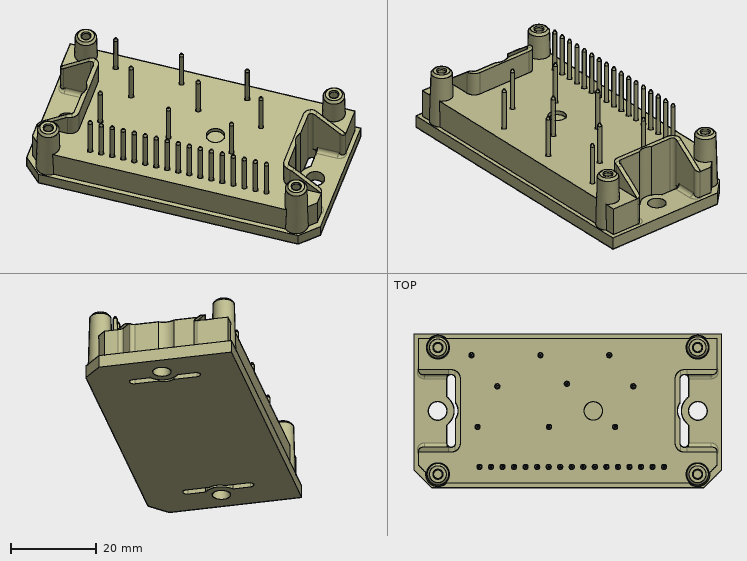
import cadquery as cq
import math

PLATE_LENGTH = 72.0
PLATE_WIDTH = 36.0
PLATE_HEIGHT = 3.1
CORNER_CUT = 4.2

HOUSING_INSET = 1.1
HOUSING_TOP = 10.1
HOUSING_END = PLATE_LENGTH / 2 - HOUSING_INSET

BAY_INNER_X = 26.3
BAY_HALF_WIDTH = 8.5
BAY_CORNER_RADIUS = 1.0
WALL_THICKNESS = 1.15
WALL_TOP = 15.9
WALL_OUTER_X = BAY_INNER_X - WALL_THICKNESS
WALL_HALF_WIDTH = BAY_HALF_WIDTH + WALL_THICKNESS
WALL_OUTER_RADIUS = BAY_CORNER_RADIUS + WALL_THICKNESS
WALL_SLOPE_ANGLE = 37.2
WALL_CREST_RADIUS = 2.4
WALL_END_RADIUS = 1.0

FOOT_RADIUS = 1.0
FOOT_END_RADIUS = 1.7
FOOT_END_X = 33.5

SCREW_X = 30.45
SCREW_DIAMETER = 4.3
SLOT_OUTER_X = 28.3
TAB_RADIUS = 3.9
RELIEF_RADIUS = 3.3
RELIEF_DEPTH = 0.6
RELIEF_X = BAY_INNER_X - RELIEF_DEPTH + RELIEF_RADIUS

RECESS_X = 6.0
RECESS_DIAMETER = 4.3
RECESS_DEPTH = 1.0

POST_X = 30.4
POST_Y = 14.8
POST_TOP = 16.85
POST_BASE_DIAMETER = 5.75
POST_SHOULDER_DIAMETER = 5.05
POST_TOP_DIAMETER = 3.95
POST_BEVEL_HEIGHT = 0.65
POST_HOLE_TOP_DIAMETER = 2.4
POST_HOLE_DIAMETER = 2.0
POST_HOLE_BEVEL_DEPTH = 0.35
POST_HOLE_DEPTH = 5.75

PIN_TOP = 20.7
PIN_DIAMETER = 1.0
PIN_TIP_DIAMETER = 0.35
PIN_TIP_HEIGHT = 0.65
PIN_WELL_DIAMETER = 1.2
PIN_WELL_DEPTH = 0.7
PIN_ROW_COUNT = 17
PIN_ROW_LENGTH = 43.2
PIN_ROW_PITCH = PIN_ROW_LENGTH / (PIN_ROW_COUNT - 1)
PIN_ROW_CENTRE_X = 0.9
PIN_ROW_Y = -13.1
LOOSE_PINS = [
    (-22.5, 13.0),
    (-6.4, 13.0),
    (9.7, 13.0),
    (-16.5, 5.75),
    (-0.2, 6.3),
    (15.3, 5.75),
    (-21.1, -3.75),
    (-4.4, -3.75),
    (11.1, -3.75),
]


def notched_block(inset, bottom, top):
    """Plate outline moved in by `inset`, with the two -Y corners cut off."""
    return (
        cq.Workplane("XY", origin=(0, 0, bottom))
        .rect(PLATE_LENGTH - 2 * inset, PLATE_WIDTH - 2 * inset)
        .extrude(top - bottom)
        .edges("|Z and <Y")
        .chamfer(CORNER_CUT)
    )


def box_between(x_min, x_max, half_width, bottom, top):
    """Box centred on Y = 0."""
    return (
        cq.Workplane("XY", origin=((x_min + x_max) / 2, 0, bottom))
        .rect(x_max - x_min, 2 * half_width)
        .extrude(top - bottom)
    )


def turned(profile, x, y):
    """Solid of revolution about the vertical line through (x, y), from (radius, Z) points."""
    return cq.Workplane("XZ").polyline(profile).close().revolve(360, (0, 0), (0, 1)).translate((x, y, 0))


def cylinder(x, y, diameter, bottom, top):
    return cq.Workplane("XY", origin=(x, y, bottom)).circle(diameter / 2).extrude(top - bottom)


def bay_wall():
    """Raised wall block at the +X end, sloping down to the housing top at its outer end."""
    block = box_between(WALL_OUTER_X, HOUSING_END, WALL_HALF_WIDTH, PLATE_HEIGHT, WALL_TOP)
    block = block.edges("|Z and <X").fillet(WALL_OUTER_RADIUS)
    slope_start_x = HOUSING_END - (WALL_TOP - HOUSING_TOP) / math.tan(math.radians(WALL_SLOPE_ANGLE))
    profile = (
        cq.Workplane("XZ")
        .moveTo(WALL_OUTER_X, PLATE_HEIGHT)
        .lineTo(HOUSING_END, PLATE_HEIGHT)
        .lineTo(HOUSING_END, HOUSING_TOP)
        .lineTo(slope_start_x, WALL_TOP)
        .lineTo(WALL_OUTER_X, WALL_TOP)
        .close()
        .extrude(WALL_HALF_WIDTH, both=True)
    )
    crest = cq.selectors.NearestToPointSelector((slope_start_x, 0, WALL_TOP))
    return block.intersect(profile.edges(crest).fillet(WALL_CREST_RADIUS))


def bay_pocket():
    """Space cut out at the +X end, flaring around the rounded outer ends of the side walls."""
    pocket = box_between(BAY_INNER_X, PLATE_LENGTH, BAY_HALF_WIDTH, PLATE_HEIGHT, WALL_TOP)
    pocket = pocket.edges("|Z and <X").fillet(BAY_CORNER_RADIUS)
    end_x = HOUSING_END - WALL_END_RADIUS
    end_y = BAY_HALF_WIDTH + WALL_END_RADIUS
    mouth = box_between(end_x, HOUSING_END, end_y, PLATE_HEIGHT, WALL_TOP)
    for side_y in (-end_y, end_y):
        mouth = mouth.cut(cylinder(end_x, side_y, 2 * WALL_END_RADIUS, PLATE_HEIGHT, WALL_TOP))
    relief = cylinder(RELIEF_X, 0, 2 * RELIEF_RADIUS, PLATE_HEIGHT, WALL_TOP)
    return pocket.union(mouth).union(relief)


def bay_feet():
    """Concave feet of the two side walls at the +X end, each swept around the outer end of its wall."""
    toe_y = BAY_HALF_WIDTH - FOOT_RADIUS
    foot_top = PLATE_HEIGHT + FOOT_RADIUS
    arc_offset = FOOT_RADIUS * (1 - math.sqrt(0.5))
    ridge = (
        cq.Workplane("YZ", origin=(SLOT_OUTER_X, 0, 0))
        .moveTo(toe_y, PLATE_HEIGHT)
        .threePointArc((BAY_HALF_WIDTH - arc_offset, PLATE_HEIGHT + arc_offset), (BAY_HALF_WIDTH, foot_top))
        .lineTo(WALL_HALF_WIDTH, foot_top)
        .lineTo(WALL_HALF_WIDTH, PLATE_HEIGHT)
        .close()
        .extrude(FOOT_END_X - SLOT_OUTER_X)
    )
    core_radius = FOOT_END_RADIUS - FOOT_RADIUS
    flare = (
        cq.Workplane("XZ")
        .moveTo(FOOT_END_RADIUS, PLATE_HEIGHT)
        .threePointArc((core_radius + arc_offset, PLATE_HEIGHT + arc_offset), (core_radius, foot_top))
        .lineTo(0, foot_top)
        .lineTo(0, PLATE_HEIGHT)
        .close()
        .revolve(360, (0, 0), (0, 1))
        .translate((FOOT_END_X, toe_y + FOOT_END_RADIUS, 0))
    )
    foot = ridge.union(flare)
    return foot.union(foot.mirror("XZ"))


def spring_slot():
    """Through slot at the +X end that follows the rounded screw tab."""
    slot = (
        cq.Workplane("XY", origin=((BAY_INNER_X + SLOT_OUTER_X) / 2, 0, 0))
        .slot2D(2 * BAY_HALF_WIDTH, SLOT_OUTER_X - BAY_INNER_X, 90)
        .extrude(PLATE_HEIGHT)
    )
    inner_side = box_between(0, SLOT_OUTER_X, BAY_HALF_WIDTH, 0, PLATE_HEIGHT)
    slot = slot.union(cylinder(RELIEF_X, 0, 2 * RELIEF_RADIUS, 0, PLATE_HEIGHT).intersect(inner_side))
    tangent = TAB_RADIUS / math.sqrt(2)
    flank_y = TAB_RADIUS * math.sqrt(2) - (SCREW_X - SLOT_OUTER_X)
    tab = (
        cq.Workplane("XY")
        .moveTo(SLOT_OUTER_X, flank_y)
        .lineTo(SCREW_X - tangent, tangent)
        .threePointArc((SCREW_X - TAB_RADIUS, 0), (SCREW_X - tangent, -tangent))
        .lineTo(SLOT_OUTER_X, -flank_y)
        .close()
        .extrude(PLATE_HEIGHT)
    )
    return slot.cut(tab)


def post(x, y):
    """Tapered post with a bevelled top edge."""
    return turned(
        [
            (0, PLATE_HEIGHT),
            (POST_BASE_DIAMETER / 2, PLATE_HEIGHT),
            (POST_SHOULDER_DIAMETER / 2, POST_TOP - POST_BEVEL_HEIGHT),
            (POST_TOP_DIAMETER / 2, POST_TOP),
            (0, POST_TOP),
        ],
        x,
        y,
    )


def post_hole(x, y):
    """Blind hole with a bevelled mouth."""
    floor = POST_TOP - POST_HOLE_DEPTH
    return turned(
        [
            (0, floor),
            (POST_HOLE_DIAMETER / 2, floor),
            (POST_HOLE_DIAMETER / 2, POST_TOP - POST_HOLE_BEVEL_DEPTH),
            (POST_HOLE_TOP_DIAMETER / 2, POST_TOP),
            (0, POST_TOP),
        ],
        x,
        y,
    )


def pin(x, y):
    """Pin with a blunt conical tip, rooted in the floor of its well."""
    root = HOUSING_TOP - PIN_WELL_DEPTH
    return turned(
        [
            (0, root),
            (PIN_DIAMETER / 2, root),
            (PIN_DIAMETER / 2, PIN_TOP - PIN_TIP_HEIGHT),
            (PIN_TIP_DIAMETER / 2, PIN_TOP),
            (0, PIN_TOP),
        ],
        x,
        y,
    )


def both_ends(feature):
    """A +X end feature together with its mirror image at the -X end."""
    return feature.union(feature.mirror("YZ"))


plate = notched_block(0, 0, PLATE_HEIGHT)
housing = notched_block(HOUSING_INSET, PLATE_HEIGHT, HOUSING_TOP)
result = plate.union(housing.union(both_ends(bay_wall())).cut(both_ends(bay_pocket())))
result = result.union(both_ends(bay_feet())).cut(both_ends(spring_slot()))
result = result.cut(both_ends(cylinder(SCREW_X, 0, SCREW_DIAMETER, 0, PLATE_HEIGHT)))
result = result.cut(cylinder(RECESS_X, 0, RECESS_DIAMETER, HOUSING_TOP - RECESS_DEPTH, HOUSING_TOP))

for post_x in (-POST_X, POST_X):
    for post_y in (-POST_Y, POST_Y):
        result = result.union(post(post_x, post_y)).cut(post_hole(post_x, post_y))

row_start_x = PIN_ROW_CENTRE_X - PIN_ROW_LENGTH / 2
pin_row = [(row_start_x + PIN_ROW_PITCH * i, PIN_ROW_Y) for i in range(PIN_ROW_COUNT)]
for pin_x, pin_y in LOOSE_PINS + pin_row:
    well = cylinder(pin_x, pin_y, PIN_WELL_DIAMETER, HOUSING_TOP - PIN_WELL_DEPTH, HOUSING_TOP)
    result = result.cut(well)
    result = result.union(pin(pin_x, pin_y))